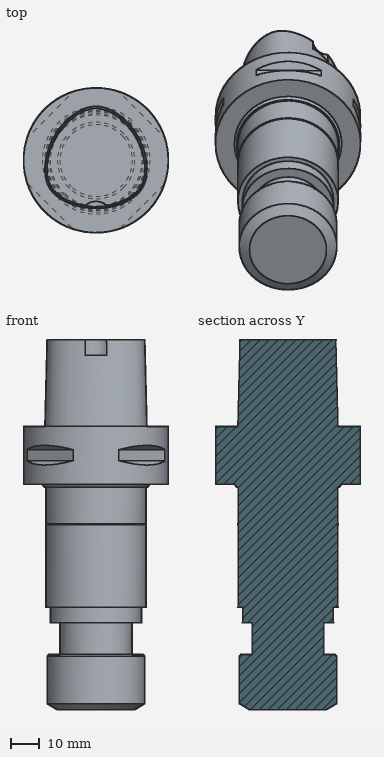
import cadquery as cq
import math

total_height = 127.7
shank_height = 29.9
flange_height = 20.0
flange_top = total_height - shank_height
flange_bottom = flange_top - flange_height
neck_relief_height = 1.0
body_joint = 64.1
body_bottom = 35.4
collar_bottom = 30.0
nut_top = 19.2
nose_cone_height = 2.2

flange_diameter = 50.0
body_diameter = 34.6
collar_diameter = 31.5
neck_diameter = 24.9
nut_diameter = 33.7
nose_diameter = 26.5
relief_lower_diameter = 35.5
relief_upper_diameter = 37.0
nut_top_chamfer = 0.6
joint_groove_width = 0.4
joint_groove_depth = 0.1

shank_base_radius = 17.6
shank_taper = 1 / 40
lobe_offset = 1.0
lobe_count = 3
flat_half_angle = 25
curve_intervals = 12

groove_count = 4
groove_first_angle = 45
groove_flat_distance = 22.3
groove_center_height = 87.9
groove_floor_width = 3.7
groove_side_angle = 30

notch_radius = 5.4
notch_back = 14.2
notch_depth = 5.4


def turned_body():
    """Revolve the flange, body, neck and clamping nut as one solid."""
    flange_r = flange_diameter / 2
    body_r = body_diameter / 2
    collar_r = collar_diameter / 2
    neck_r = neck_diameter / 2
    nut_r = nut_diameter / 2
    groove_r = body_r - joint_groove_depth
    relief_bottom = flange_bottom - neck_relief_height
    joint_top = body_joint + joint_groove_width / 2
    joint_bottom = body_joint - joint_groove_width / 2
    profile = [
        (0, flange_top),
        (flange_r, flange_top),
        (flange_r, flange_bottom),
        (relief_upper_diameter / 2, flange_bottom),
        (relief_lower_diameter / 2, relief_bottom),
        (body_r, relief_bottom),
        (body_r, joint_top),
        (groove_r, joint_top),
        (groove_r, joint_bottom),
        (body_r, joint_bottom),
        (body_r, body_bottom),
        (collar_r, body_bottom),
        (collar_r, collar_bottom),
        (neck_r, collar_bottom),
        (neck_r, nut_top),
        (nut_r - nut_top_chamfer, nut_top),
        (nut_r, nut_top - nut_top_chamfer),
        (nut_r, nose_cone_height),
        (nose_diameter / 2, 0),
        (0, 0),
    ]
    return cq.Workplane("XZ").polyline(profile).close().revolve(360, (0, 0), (0, 1))


def lobed_point(mean_radius, height, degrees):
    """Point on the three-lobed curve, measured from the middle of the flat side facing -Y."""
    angle = math.radians(degrees)
    across = (mean_radius * math.sin(angle) + 2 * lobe_offset * math.sin(2 * angle)
              + lobe_offset * math.sin(4 * angle))
    along = (mean_radius * math.cos(angle) - 2 * lobe_offset * math.cos(2 * angle)
             + lobe_offset * math.cos(4 * angle))
    return cq.Vector(across, -along, height)


def lobed_wire(mean_radius, height):
    """Closed three-lobed curve with one lobe toward +Y, made of alternating flat sides and lobes."""
    lobe_pitch = 360 / lobe_count
    edges = []
    for index in range(lobe_count):
        middle = index * lobe_pitch
        breaks = [middle - flat_half_angle, middle + flat_half_angle, middle + lobe_pitch - flat_half_angle]
        for start, end in zip(breaks, breaks[1:]):
            step = (end - start) / curve_intervals
            points = [lobed_point(mean_radius, height, start + step * i) for i in range(curve_intervals + 1)]
            edges.append(cq.Edge.makeSpline(points))
    return cq.Wire.assembleEdges(edges)


def shank():
    """Tapered lobed shank standing on the flange."""
    top_radius = shank_base_radius - shank_taper * shank_height
    base = lobed_wire(shank_base_radius, flange_top)
    top = lobed_wire(top_radius, total_height)
    return cq.Workplane(cq.Solid.makeLoft([base, top], True))


def gripper_groove(angle):
    """Straight cutter with a flat floor and sides flaring outward."""
    outer_distance = flange_diameter / 2 + 1.3
    flare = (outer_distance - groove_flat_distance) * math.tan(math.radians(groove_side_angle))
    floor_half = groove_floor_width / 2
    mouth_half = floor_half + flare
    section = [
        (groove_flat_distance, groove_center_height - floor_half),
        (outer_distance, groove_center_height - mouth_half),
        (outer_distance, groove_center_height + mouth_half),
        (groove_flat_distance, groove_center_height + floor_half),
    ]
    cutter = cq.Workplane("XZ").polyline(section).close().extrude(flange_diameter / 2, both=True)
    return cutter.rotate((0, 0, 0), (0, 0, 1), angle)


def key_notch():
    """Upright cylindrical cutter open at the shank's top end."""
    return (
        cq.Workplane("XY", origin=(0, -notch_back - notch_radius, total_height - notch_depth))
        .circle(notch_radius)
        .extrude(notch_depth)
    )


result = turned_body().union(shank()).cut(key_notch())
for index in range(groove_count):
    result = result.cut(gripper_groove(groove_first_angle + index * 360 / groove_count))